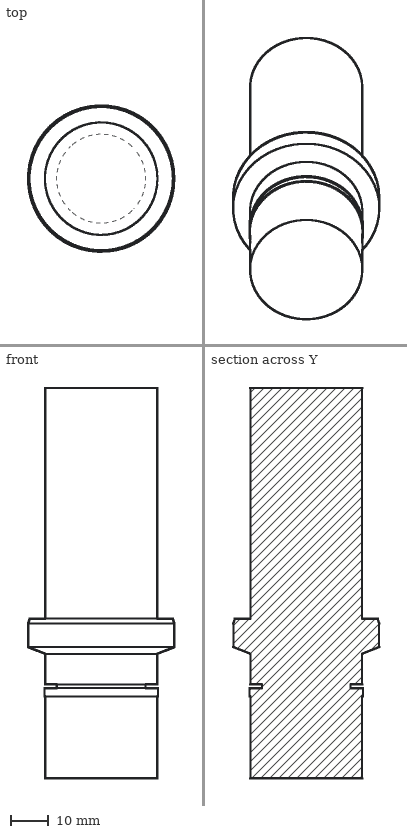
import cadquery as cq

length = 104.0
shaft_diameter = 30.0

collar_diameter = 39.0
collar_top = 42.5
bevel_height = 1.2
bevel_width = 0.4
collar_rim_bottom = 34.9
collar_cone_bottom = 33.2

band_diameter = 30.4
band_bottom = 21.8
band_height = 2.2
groove_diameter = 23.7
groove_width = 1.0
band_top = band_bottom + band_height


def cylinder(diameter, bottom, height):
    """Solid cylinder on the Z axis, starting at the given height."""
    return cq.Workplane("XY").workplane(offset=bottom).circle(diameter / 2).extrude(height)


def make_collar():
    """Collar revolved about the Z axis from its half section."""
    shaft_radius = shaft_diameter / 2
    collar_radius = collar_diameter / 2
    half_section = [
        (0, collar_cone_bottom),
        (shaft_radius, collar_cone_bottom),
        (collar_radius, collar_rim_bottom),
        (collar_radius, collar_top - bevel_height),
        (collar_radius - bevel_width, collar_top),
        (0, collar_top),
    ]
    return cq.Workplane("XZ").polyline(half_section).close().revolve(360, (0, 0), (0, 1))


def make_groove():
    """Ring of material removed between the band and the collar."""
    outer = cylinder(band_diameter, band_top, groove_width)
    return outer.cut(cylinder(groove_diameter, band_top, groove_width))


shaft = cylinder(shaft_diameter, 0, length)
band = cylinder(band_diameter, band_bottom, band_height)
result = shaft.union(make_collar()).union(band).cut(make_groove())